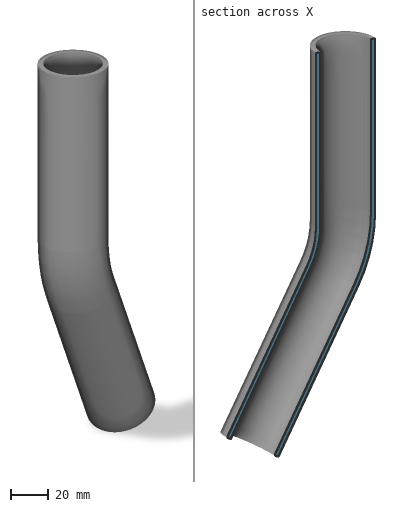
import cadquery as cq
import math

outer_diameter = 38.0
inner_diameter = 32.0
leg_length = 101.8
bend_radius = 62.8
bend_angle = 30


def bend_point(angle_degrees):
    """Centreline (Y, Z) after turning by an angle from the end of the upper leg."""
    angle = math.radians(angle_degrees)
    return bend_radius * (1 - math.cos(angle)), -bend_radius * math.sin(angle)


bend_end_y, bend_end_z = bend_point(bend_angle)
lean = math.radians(bend_angle)
lower_end = (
    bend_end_y + leg_length * math.sin(lean),
    bend_end_z - leg_length * math.cos(lean),
)
centreline = (
    cq.Workplane("YZ")
    .moveTo(0, leg_length)
    .lineTo(0, 0)
    .threePointArc(bend_point(bend_angle / 2), (bend_end_y, bend_end_z))
    .lineTo(*lower_end)
)

result = (
    cq.Workplane("XY", origin=(0, 0, leg_length))
    .circle(outer_diameter / 2)
    .circle(inner_diameter / 2)
    .sweep(centreline)
)